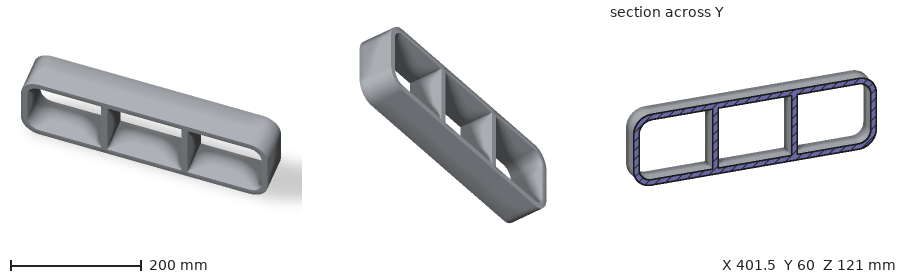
import cadquery as cq

length = 401.5
depth = 60.0
height = 121.0

wall = 10.0
outer_radius = 30.0
inner_radius = outer_radius - wall

compartment_count = 3
divider = wall
inner_length = length - 2 * wall
inner_height = height - 2 * wall
compartment_length = (inner_length - (compartment_count - 1) * divider) / compartment_count
divider_pitch = compartment_length + divider


def rounded_block(x_size, z_size, radius):
    """Centred block running the full depth, with its four long edges rounded."""
    return cq.Workplane("XY").box(x_size, depth, z_size).edges("|Y").fillet(radius)


def make_frame():
    """Rounded rectangular tube, open along Y."""
    outer = rounded_block(length, height, outer_radius)
    return outer.cut(rounded_block(inner_length, inner_height, inner_radius))


def add_dividers(body):
    """Upright walls, evenly spaced, joining the top and bottom of the frame."""
    for index in range(compartment_count - 1):
        x = (index - (compartment_count - 2) / 2) * divider_pitch
        plate = cq.Workplane("XY").box(divider, depth, height - wall)
        body = body.union(plate.translate((x, 0, 0)))
    return body


result = add_dividers(make_frame())